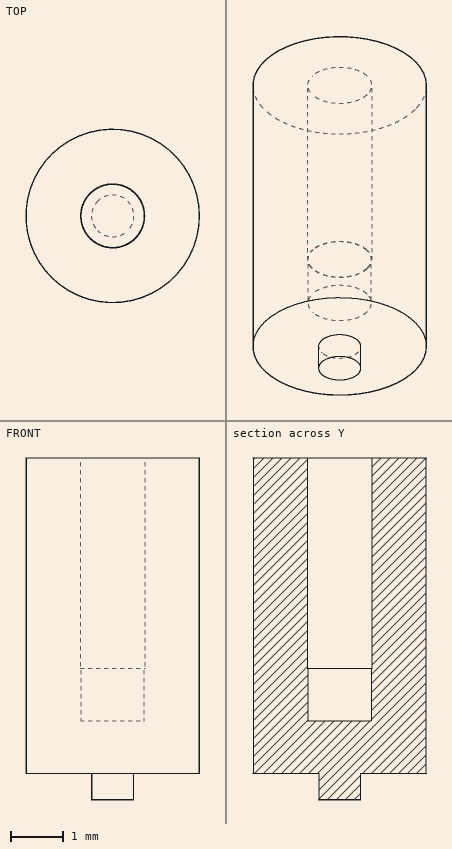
import cadquery as cq

body_diameter = 3.3
body_height = 6.0

pin_diameter = 0.8
pin_length = 0.5

entry_bore_diameter = 1.22
entry_bore_depth = 4.0
end_bore_diameter = 1.2
bore_floor_thickness = 1.0
bore_depth = body_height - bore_floor_thickness


def cylinder(diameter, start_z, height):
    """Cylinder on the Z axis; a negative height runs downward from start_z."""
    return cq.Workplane("XY").workplane(offset=start_z).circle(diameter / 2).extrude(height)


def make_stepped_bore():
    entry_bore = cylinder(entry_bore_diameter, body_height, -entry_bore_depth)
    end_bore = cylinder(end_bore_diameter, body_height, -bore_depth)
    return entry_bore.union(end_bore)


body = cylinder(body_diameter, 0, body_height)
pin = cylinder(pin_diameter, 0, -pin_length)

result = body.union(pin).cut(make_stepped_bore())